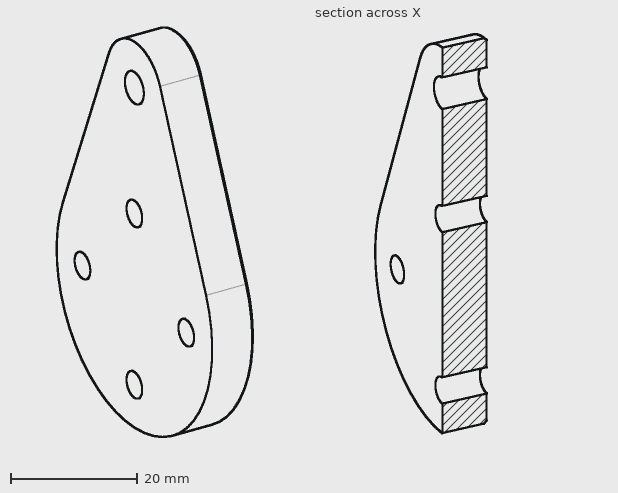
import cadquery as cq
import math

total_height = 67.5
large_radius = 22.5
small_radius = 8.0
thickness = 8.0
back_chamfer = 0.5
mount_hole_diameter = 4.5
mount_circle_radius = 15.0
mount_hole_count = 4
pivot_hole_diameter = 5.5

pivot_height = total_height - large_radius - small_radius

tangent_angle = math.asin((large_radius - small_radius) / pivot_height)


def tangent_point(center_z, radius, side):
    """Point where a straight side meets an end arc; side is +1 (right) or -1 (left)."""
    return (side * radius * math.cos(tangent_angle), center_z + radius * math.sin(tangent_angle))


def teardrop_plate():
    """Plate with two round ends joined by tangent sides, front face at Y = 0."""
    return (
        cq.Workplane("XZ")
        .moveTo(*tangent_point(0, large_radius, 1))
        .lineTo(*tangent_point(pivot_height, small_radius, 1))
        .threePointArc(
            (0, pivot_height + small_radius),
            tangent_point(pivot_height, small_radius, -1),
        )
        .lineTo(*tangent_point(0, large_radius, -1))
        .threePointArc((0, -large_radius), tangent_point(0, large_radius, 1))
        .close()
        .extrude(-thickness)
    )


def through_holes():
    """Cutters for the ring of mounting holes and the single pivot hole."""
    mount_holes = (
        cq.Workplane("XZ")
        .polarArray(mount_circle_radius, 0, 360, mount_hole_count)
        .circle(mount_hole_diameter / 2)
        .extrude(-thickness)
    )
    pivot_hole = (
        cq.Workplane("XZ")
        .center(0, pivot_height)
        .circle(pivot_hole_diameter / 2)
        .extrude(-thickness)
    )
    return mount_holes.union(pivot_hole)


plate = teardrop_plate().faces(">Y").edges().chamfer(back_chamfer)
result = plate.cut(through_holes())